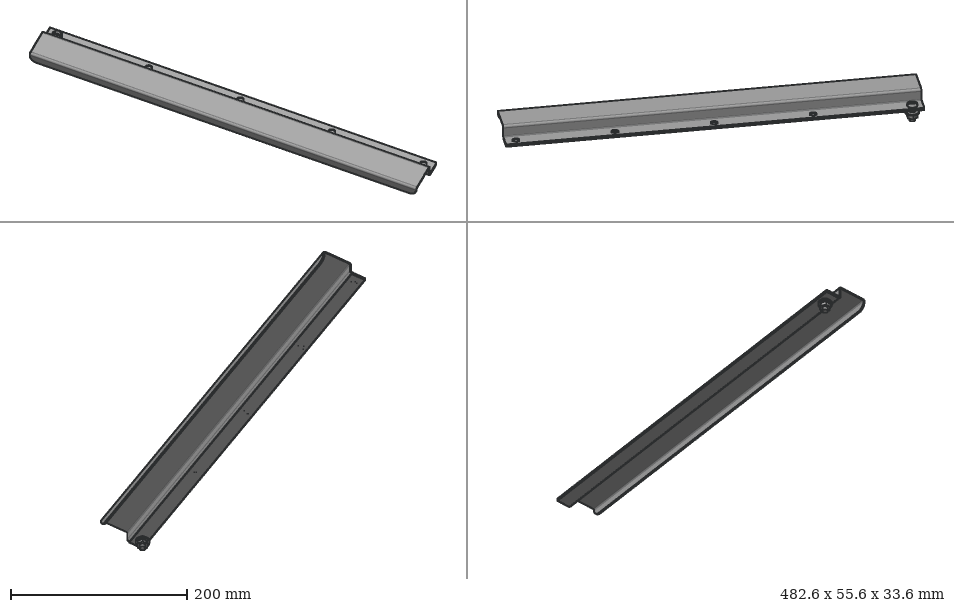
import cadquery as cq
import math

panel_length = 482.6
panel_depth = 55.56
panel_height = 16.15
sheet = 2.0
inner_bend = 0.8
outer_bend = inner_bend + sheet
flange_depth = 18.6
lip_height = 12.7
lip_corner_radius = 9.0

strip_thickness = 1.4
strip_depth = 17.8

hole_count = 5
hole_pitch = 114.3
hole_diameter = 8.0
washer_overhang = 0.02

shank_diameter = 6.35
screw_end_depth = 33.58
head_diameter = 12.0
head_height = 2.8
head_rim_radius = 1.8
slot_width = 1.6
slot_depth = 1.5
flat_washer_diameter = 15.875
flat_washer_thickness = 1.8
washer_gap = 4.3
nut_across_flats = 11.11
nut_height = 5.4
nut_face_diameter = 9.8
nut_chamfer_angle = 30

flange_bottom = -panel_height
flange_top = flange_bottom + sheet
strip_bottom = flange_bottom - strip_thickness
head_bottom = flange_top
flat_washer_bottom = strip_bottom - washer_gap - flat_washer_thickness
nut_bottom = flat_washer_bottom - nut_height
hole_y = washer_overhang - flat_washer_diameter / 2
hole_x = [(i - (hole_count - 1) / 2) * hole_pitch for i in range(hole_count)]
screw_x = hole_x[0]


def at_screw(z):
    """Horizontal workplane centred on the screw axis."""
    return cq.Workplane("XY", origin=(screw_x, hole_y, z))


def make_bracket():
    """Z-fold with a front lip, holes in the rear flange and rounded lip corners."""
    web_rear = -flange_depth
    web_front = web_rear - sheet
    lip_front = -panel_depth
    lip_rear = lip_front + sheet
    profile = [
        (0, flange_bottom),
        (web_front, flange_bottom),
        (web_front, -sheet),
        (lip_rear, -sheet),
        (lip_rear, -lip_height),
        (lip_front, -lip_height),
        (lip_front, 0),
        (web_rear, 0),
        (web_rear, flange_top),
        (0, flange_top),
    ]
    outer_corners = [(web_front, flange_bottom), (lip_front, 0), (web_rear, 0)]
    inner_corners = [(web_front, -sheet), (lip_rear, -sheet), (web_rear, flange_top)]

    def bend_edges(body, corners):
        selector = None
        for y, z in corners:
            near = cq.selectors.NearestToPointSelector((0, y, z))
            selector = near if selector is None else selector + near
        return body.edges("|X").edges(selector)

    body = cq.Workplane("YZ").polyline(profile).close().extrude(panel_length / 2, both=True)
    body = bend_edges(body, outer_corners).fillet(outer_bend)
    body = bend_edges(body, inner_corners).fillet(inner_bend)
    lip_ends = cq.selectors.BoxSelector(
        (-panel_length, lip_front - sheet, -lip_height - sheet),
        (panel_length, lip_rear + sheet / 2, -lip_height + sheet),
    )
    body = body.edges("|Y").edges(lip_ends).fillet(lip_corner_radius)
    holes = (
        cq.Workplane("XY", origin=(0, hole_y, flange_bottom))
        .pushPoints([(x, 0) for x in hole_x])
        .circle(hole_diameter / 2)
        .extrude(sheet)
    )
    return body.cut(holes)


def make_strip():
    """Plain strip that closes the flange holes from below, pierced only by the screw."""
    blank = (
        cq.Workplane("XY", origin=(0, -strip_depth / 2, strip_bottom))
        .rect(panel_length, strip_depth)
        .extrude(strip_thickness)
    )
    return blank.cut(at_screw(strip_bottom).circle(hole_diameter / 2).extrude(strip_thickness))


def make_screw():
    """Slotted screw with a flat-topped head and a rounded rim."""
    head = at_screw(head_bottom).circle(head_diameter / 2).extrude(head_height)
    head = head.faces(">Z").edges().fillet(head_rim_radius)
    slot_floor = head_bottom + head_height - slot_depth
    slot = at_screw(slot_floor).rect(head_diameter, slot_width).extrude(slot_depth)
    shank = at_screw(-screw_end_depth).circle(shank_diameter / 2).extrude(screw_end_depth + head_bottom)
    return head.cut(slot).union(shank)


def make_flat_washer():
    """Plain ring that fits the shank."""
    ring = at_screw(flat_washer_bottom).circle(flat_washer_diameter / 2).circle(shank_diameter / 2)
    return ring.extrude(flat_washer_thickness)


def make_nut():
    """Hex nut, corners along Y, with the upper corners chamfered."""
    across_corners = nut_across_flats / math.cos(math.pi / 6)
    corner_radius = across_corners / 2
    face_radius = nut_face_diameter / 2
    chamfer_height = (corner_radius - face_radius) * math.tan(math.radians(nut_chamfer_angle))
    blank = (
        at_screw(nut_bottom)
        .transformed(rotate=(0, 0, 90))
        .polygon(6, across_corners)
        .circle(shank_diameter / 2)
        .extrude(nut_height)
    )
    envelope = (
        cq.Workplane("XZ", origin=(screw_x, hole_y, nut_bottom))
        .lineTo(corner_radius, 0)
        .lineTo(corner_radius, nut_height - chamfer_height)
        .lineTo(face_radius, nut_height)
        .lineTo(0, nut_height)
        .close()
        .revolve(360, (0, 0), (0, 1))
    )
    return blank.intersect(envelope)


bracket = make_bracket()
strip = make_strip()
screw = make_screw()
flat_washer = make_flat_washer()
nut = make_nut()

result = cq.Compound.makeCompound(
    [bracket.val(), strip.val(), screw.val(), flat_washer.val(), nut.val()]
)